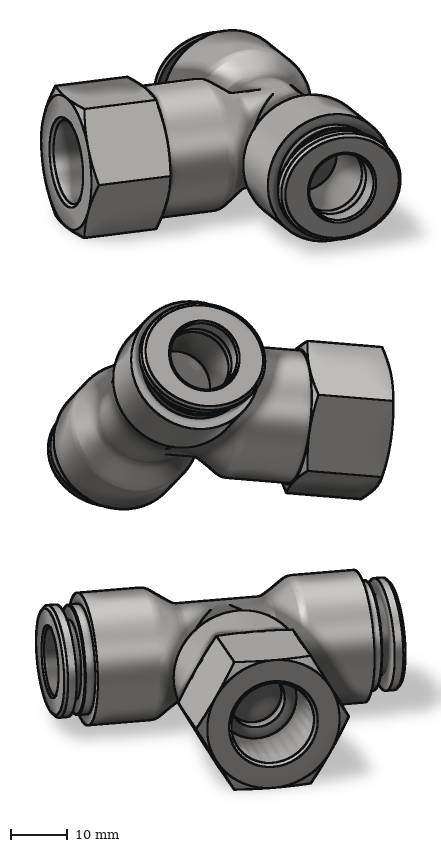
import cadquery as cq
import math

half_length = 30.9
arm_reach = 25.0
branch_reach = 40.0

arm_radius = 11.75
core_radius = 8.45
core_half_length = 8.1
shoulder_reach = 13.05
shoulder_blend = 2.5
tube_bore_radius = 12.2 / 2

collar_radius = 19.6 / 2
collar_length = 1.9
collar_chamfer = 0.2

sleeve_neck_radius = 14.2 / 2
flange_width = 22.6
flange_height = 19.6
flange_thickness = 2.1
flange_chamfer = 0.55
neck_fillet = 0.2
mouth_chamfer = 0.4

hex_across_flats = 24.0
hex_chamfer_angle = 20.0
thread_mouth_radius = 14.95 / 2
thread_end_radius = 14.2 / 2
thread_depth = 12.35
thread_chamfer = 0.55
nut_passage_radius = 10.0 / 2

collar_reach = arm_reach + collar_length
sleeve_length = half_length - collar_reach
nut_length = branch_reach - arm_reach
hex_across_corners = hex_across_flats / math.cos(math.radians(30))

ARM_DIRECTIONS = (cq.Vector(-1, 0, 0), cq.Vector(1, 0, 0))
BRANCH_DIRECTION = cq.Vector(0, -1, 0)


def axis_plane(direction, reach=0.0):
    """Plane at a distance from the tee centre, facing outward, with local X along Z."""
    return cq.Plane(origin=(direction * reach).toTuple(), xDir=(0, 0, 1), normal=direction.toTuple())


def make_run():
    """Straight run along X: a core with a shoulder cone and a thick arm at each end."""
    half = [
        (core_half_length, core_radius),
        (shoulder_reach, arm_radius),
        (arm_reach, arm_radius),
    ]
    mirrored_half = [(-x, radius) for x, radius in reversed(half)]
    run = (
        cq.Workplane("XY")
        .polyline([(-arm_reach, 0), *mirrored_half, *half, (arm_reach, 0)])
        .close()
        .revolve(360, (0, 0), (1, 0))
    )
    limit = (shoulder_reach + arm_reach) / 2
    shoulder_rings = cq.selectors.BoxSelector(
        (-limit, -limit, -limit),
        (limit, limit, limit),
        boundingbox=True,
    )
    return run.edges("%CIRCLE").edges(shoulder_rings).fillet(shoulder_blend)


def make_tee():
    run = make_run()
    branch_wedge = (
        cq.Workplane("XY", origin=(0, 0, -half_length))
        .polyline([(0, 0), (half_length, -half_length), (-half_length, -half_length)])
        .close()
        .extrude(2 * half_length)
    )
    branch = run.rotate((0, 0, 0), (0, 0, 1), -90).intersect(branch_wedge)
    tee = run.cut(branch_wedge).union(branch)
    for direction in ARM_DIRECTIONS:
        socket = (
            cq.Workplane(axis_plane(direction, shoulder_reach))
            .circle(tube_bore_radius)
            .extrude(arm_reach - shoulder_reach)
        )
        tee = tee.cut(socket)
    return tee


def make_collar(direction):
    return (
        cq.Workplane(axis_plane(direction, arm_reach))
        .circle(collar_radius)
        .extrude(collar_length)
        .faces(cq.selectors.DirectionMinMaxSelector(direction))
        .edges()
        .chamfer(collar_chamfer)
        .cut(
            cq.Workplane(axis_plane(direction, arm_reach))
            .circle(tube_bore_radius)
            .extrude(collar_length)
        )
    )


def make_sleeve(direction):
    outer_face = cq.selectors.DirectionMinMaxSelector(direction)
    neck = (
        cq.Workplane(axis_plane(direction, collar_reach))
        .circle(sleeve_neck_radius)
        .extrude(sleeve_length)
    )
    flange = (
        cq.Workplane(axis_plane(direction, half_length - flange_thickness))
        .ellipse(flange_height / 2, flange_width / 2)
        .extrude(flange_thickness)
        .faces(outer_face)
        .edges()
        .chamfer(flange_chamfer)
    )
    neck_root = cq.NearestToPointSelector((direction * (half_length - flange_thickness)).toTuple())
    body = neck.union(flange).edges("%CIRCLE").edges(neck_root).fillet(neck_fillet)
    bore = (
        cq.Workplane(axis_plane(direction, collar_reach))
        .circle(tube_bore_radius)
        .extrude(sleeve_length)
    )
    mouth = cq.Workplane(cq.Solid.makeCone(
        tube_bore_radius,
        tube_bore_radius + mouth_chamfer,
        mouth_chamfer,
        pnt=direction * (half_length - mouth_chamfer),
        dir=direction,
    ))
    return body.cut(bore).cut(mouth)


def make_nut():
    """Hexagon with both ends turned to a cone, a taper thread bore and a smaller passage."""
    base = axis_plane(BRANCH_DIRECTION, arm_reach)
    hexagon = (
        cq.Workplane(base)
        .transformed(rotate=(0, 0, 90))
        .polygon(6, hex_across_corners)
        .extrude(nut_length)
    )

    flat_radius = hex_across_flats / 2
    corner_radius = hex_across_corners / 2
    chamfer_drop = (corner_radius - flat_radius) * math.tan(math.radians(hex_chamfer_angle))
    envelope = (
        cq.Workplane("XZ")
        .polyline([
            (0, 0),
            (flat_radius, 0),
            (corner_radius, chamfer_drop),
            (corner_radius, nut_length - chamfer_drop),
            (flat_radius, nut_length),
            (0, nut_length),
        ])
        .close()
        .revolve(360, (0, 0), (0, 1))
    )

    bore = (
        cq.Workplane("XZ")
        .polyline([
            (0, 0),
            (nut_passage_radius, 0),
            (nut_passage_radius, nut_length - thread_depth),
            (thread_end_radius, nut_length - thread_depth),
            (thread_mouth_radius, nut_length - thread_chamfer),
            (thread_mouth_radius + thread_chamfer, nut_length),
            (0, nut_length),
        ])
        .close()
        .revolve(360, (0, 0), (0, 1))
    )
    placed = cq.Location(base)
    return (
        hexagon
        .intersect(cq.Workplane(envelope.val().moved(placed)))
        .cut(cq.Workplane(bore.val().moved(placed)))
    )


tee = make_tee()
nut = make_nut()
collars = [make_collar(direction).val() for direction in ARM_DIRECTIONS]
sleeves = [make_sleeve(direction).val() for direction in ARM_DIRECTIONS]

result = cq.Compound.makeCompound([tee.val(), nut.val(), *collars, *sleeves])